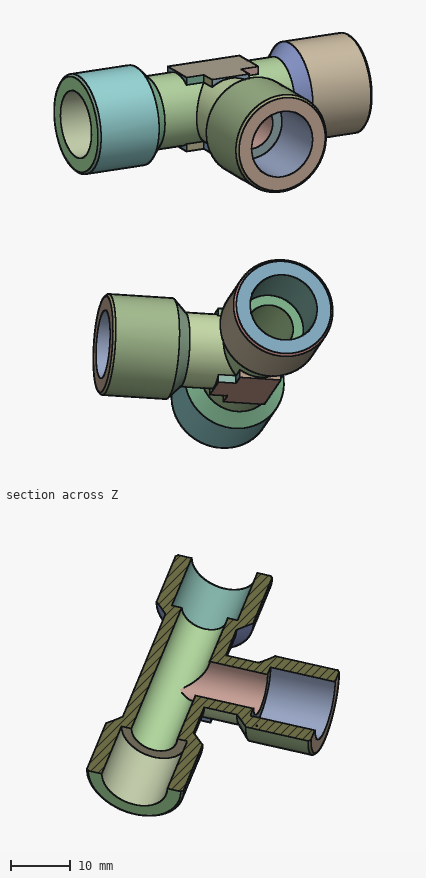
import cadquery as cq

run_length = 51.5
branch_reach = 25.5

tube_diameter = 12.5
collar_diameter = 17.0
collar_length = 11.3
collar_taper = (collar_diameter - tube_diameter) / 2
end_chamfer = 0.4

bore_diameter = 8.0
socket_diameter = 11.45
socket_depth = collar_length

pad_height = 6.5
pad_width = 7.0
pad_length = 13.5
pad_reach = 6.5

ARMS = [
    (cq.Vector(0, 1, 0), run_length / 2),
    (cq.Vector(0, -1, 0), run_length / 2),
    (cq.Vector(1, 0, 0), branch_reach),
]
UP = cq.Vector(0, 0, 1)
CENTRE = cq.Vector(0, 0, 0)


def arm_body(direction, reach):
    """Solid arm: tube, 45 degree shoulder and collar with a chamfered end."""
    tube_radius = tube_diameter / 2
    collar_radius = collar_diameter / 2
    collar_start = reach - collar_length
    section = cq.Plane(origin=CENTRE, xDir=UP, normal=UP.cross(direction))
    return (
        cq.Workplane(section)
        .moveTo(0, 0)
        .lineTo(tube_radius, 0)
        .lineTo(tube_radius, collar_start - collar_taper)
        .lineTo(collar_radius, collar_start)
        .lineTo(collar_radius, reach - end_chamfer)
        .lineTo(collar_radius - end_chamfer, reach)
        .lineTo(0, reach)
        .close()
        .revolve(360, (0, 0, 0), (0, 1, 0))
    )


def arm_bore(direction, reach):
    """Bore from the centre of the tee, opening into the socket at the arm's end."""
    plane = cq.Plane(origin=CENTRE, xDir=UP, normal=direction)
    bore = cq.Workplane(plane).circle(bore_diameter / 2).extrude(reach)
    socket = (
        cq.Workplane(plane)
        .workplane(offset=reach - socket_depth)
        .circle(socket_diameter / 2)
        .extrude(socket_depth)
    )
    return bore.union(socket)


def flat_pads():
    """T-shaped flat pads on the top and bottom of the junction."""
    thickness = 2 * pad_height
    run_pad = cq.Workplane("XY").box(pad_width, pad_length, thickness)
    branch_pad = cq.Workplane("XY").box(
        pad_reach, pad_width, thickness, centered=(False, True, True)
    )
    return run_pad.union(branch_pad)


result = flat_pads()
for arm_direction, arm_reach in ARMS:
    result = result.union(arm_body(arm_direction, arm_reach))
for arm_direction, arm_reach in ARMS:
    result = result.cut(arm_bore(arm_direction, arm_reach))